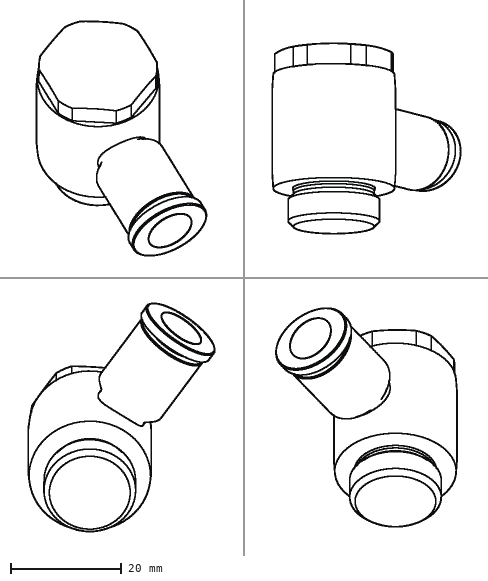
import cadquery as cq
import math


thread_radius = 8.32
thread_chamfer = 1.0
thread_top = 4.9
neck_radius = thread_radius - thread_chamfer
neck_flare = 0.15
neck_flare_height = 0.45

body_radius = 11.2
body_bottom = 7.0
body_top = 28.05
body_taper = 0.15
lower_taper_height = 2.5
upper_taper_height = 2.6

overall_height = 32.0
hex_across_flats = 19.95
hex_corner_radius = 10.75
hex_top_bevel_height = 0.25

port_height = 17.5
port_base_radius = 4.95
port_radius = 6.8
port_cone_start = 11.25
port_cone_fillet = 1.0
port_end = 26.9
port_end_chamfer = 0.2

stem_radius = 4.8
button_start = 27.8
button_face = 29.7
button_width = 15.0
button_height = 13.05
button_chamfer = 0.2
lip_radius = 4.35
overall_length = 41.0
lip_end = overall_length - body_radius


def make_body():
    """Threaded end, relief neck and tapered banjo body as one turned shape."""
    taper_radius = body_radius - body_taper
    profile = [
        (0, 0),
        (neck_radius, 0),
        (thread_radius, thread_chamfer),
        (thread_radius, thread_top),
        (neck_radius, thread_top + thread_chamfer),
        (neck_radius, body_bottom - neck_flare_height),
        (neck_radius + neck_flare, body_bottom),
        (taper_radius, body_bottom),
        (body_radius, body_bottom + lower_taper_height),
        (body_radius, body_top - upper_taper_height),
        (taper_radius, body_top),
        (0, body_top),
    ]
    return cq.Workplane("XZ").polyline(profile).close().revolve(360, (0, 0), (0, 1))


def make_hex_head():
    """Hexagon with flats facing +Y and -Y, its corners turned round and its top beveled."""
    across_corners = hex_across_flats / math.cos(math.pi / 6)
    hexagon = (
        cq.Workplane("XY", origin=(0, 0, body_top))
        .polygon(6, across_corners)
        .extrude(overall_height - body_top)
    )
    turned_profile = [
        (0, body_top),
        (hex_corner_radius, body_top),
        (hex_corner_radius, overall_height - hex_top_bevel_height),
        (hex_across_flats / 2, overall_height),
        (0, overall_height),
    ]
    turned = cq.Workplane("XZ").polyline(turned_profile).close().revolve(360, (0, 0), (0, 1))
    return hexagon.intersect(turned)


def port_plane(x):
    """Plane facing +X on the port axis, with its local x along Y and local y along Z."""
    return cq.Workplane("YZ", origin=(x, 0, port_height))


def make_port():
    """Round base inside the body, widening through a blended 45-degree cone to the port sleeve."""
    port_cone_end = port_cone_start + port_radius - port_base_radius
    turn = math.pi / 4
    tangent = port_cone_fillet * math.tan(turn / 2)
    tangent_on_cone = tangent * math.sin(turn)
    arc_mid_along = port_cone_fillet * math.sin(turn / 2) - tangent
    arc_mid_out = port_cone_fillet * (1 - math.cos(turn / 2))
    return (
        cq.Workplane("XY", origin=(0, 0, port_height))
        .moveTo(0, 0)
        .lineTo(0, port_base_radius)
        .lineTo(port_cone_start - tangent, port_base_radius)
        .threePointArc(
            (port_cone_start + arc_mid_along, port_base_radius + arc_mid_out),
            (port_cone_start + tangent_on_cone, port_base_radius + tangent_on_cone),
        )
        .lineTo(port_cone_end - tangent_on_cone, port_radius - tangent_on_cone)
        .threePointArc(
            (port_cone_end - arc_mid_along, port_radius - arc_mid_out),
            (port_cone_end + tangent, port_radius),
        )
        .lineTo(port_end - port_end_chamfer, port_radius)
        .lineTo(port_end, port_radius - port_end_chamfer)
        .lineTo(port_end, 0)
        .close()
        .revolve(360, (0, 0), (1, 0))
    )


def make_release_button():
    """Oval button on a round stem, with a thin round lip on its outer face."""
    stem = port_plane(port_end).circle(stem_radius).extrude(button_start - port_end)
    button = (
        port_plane(button_start)
        .ellipse(button_width / 2, button_height / 2)
        .extrude(button_face - button_start)
        .faces(">X")
        .chamfer(button_chamfer)
    )
    lip = port_plane(button_face).circle(lip_radius).extrude(lip_end - button_face)
    return stem.union(button).union(lip)


result = make_body().union(make_hex_head()).union(make_port()).union(make_release_button())